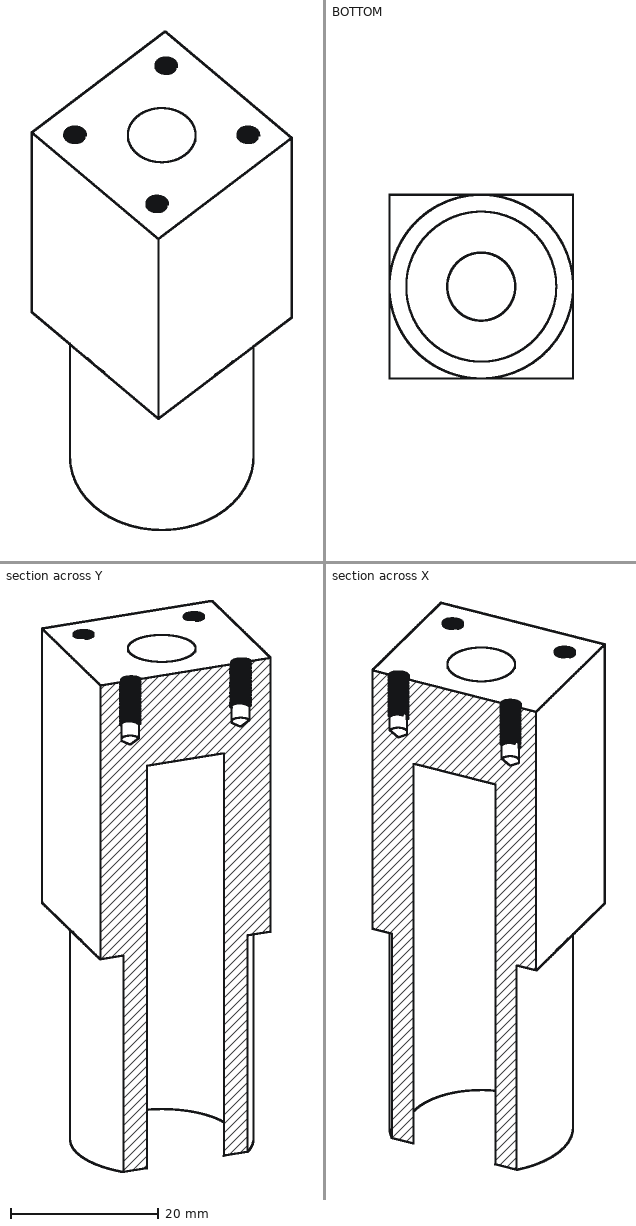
import cadquery as cq
import math

total_height = 72.7
body_width = 25.0
barrel_height = 32.05
block_height = total_height - barrel_height

bore_diameter = 9.2
bore_length = 13.1
cavity_diameter = 20.4
cavity_height = total_height - bore_length

screw_spacing_x = 16.2
screw_spacing_y = 17.1
hole_diameter = 2.55
hole_depth = 8.7
drill_point_angle = 118.0

thread_diameter = 3.0
thread_pitch = 0.5
thread_length = 6.55
thread_start_angle = 180.0
groove_mouth_width = 0.8 * thread_pitch
groove_root_width = 0.2 * thread_pitch
groove_overlap = 0.1


def make_body():
    """Square block standing on a round barrel of the same width."""
    barrel = cq.Workplane("XY").circle(body_width / 2).extrude(barrel_height)
    block = (
        cq.Workplane("XY")
        .workplane(offset=barrel_height)
        .rect(body_width, body_width)
        .extrude(block_height)
    )
    return barrel.union(block)


def make_drill_cutter():
    """Blind hole with a conical point, its mouth at the origin."""
    radius = hole_diameter / 2
    point_depth = radius / math.tan(math.radians(drill_point_angle / 2))
    return (
        cq.Workplane("XZ")
        .lineTo(radius, 0)
        .lineTo(radius, -hole_depth)
        .lineTo(0, -hole_depth - point_depth)
        .close()
        .revolve(360, (0, 0, 0), (0, 1, 0))
    )


def make_thread_cutter():
    """Right-hand helical groove that starts one pitch above the hole mouth."""
    inner_radius = hole_diameter / 2 - groove_overlap
    root_radius = thread_diameter / 2
    helix = cq.Wire.makeHelix(thread_pitch, thread_length + thread_pitch, inner_radius)
    groove = (
        cq.Workplane("XZ")
        .moveTo(inner_radius, -groove_mouth_width / 2)
        .lineTo(root_radius, -groove_root_width / 2)
        .lineTo(root_radius, groove_root_width / 2)
        .lineTo(inner_radius, groove_mouth_width / 2)
        .close()
        .sweep(cq.Workplane(helix), isFrenet=True)
    )
    groove = groove.rotate((0, 0, 0), (0, 0, 1), thread_start_angle)
    return groove.translate((0, 0, -thread_length))


bore = cq.Workplane("XY").circle(bore_diameter / 2).extrude(total_height)
cavity = cq.Workplane("XY").circle(cavity_diameter / 2).extrude(cavity_height)
result = make_body().cut(bore).cut(cavity)

drill_cutter = make_drill_cutter()
thread_cutter = make_thread_cutter()
for side_x in (-1, 1):
    for side_y in (-1, 1):
        mouth = (side_x * screw_spacing_x / 2, side_y * screw_spacing_y / 2, total_height)
        result = result.cut(thread_cutter.translate(mouth))
        result = result.cut(drill_cutter.translate(mouth))